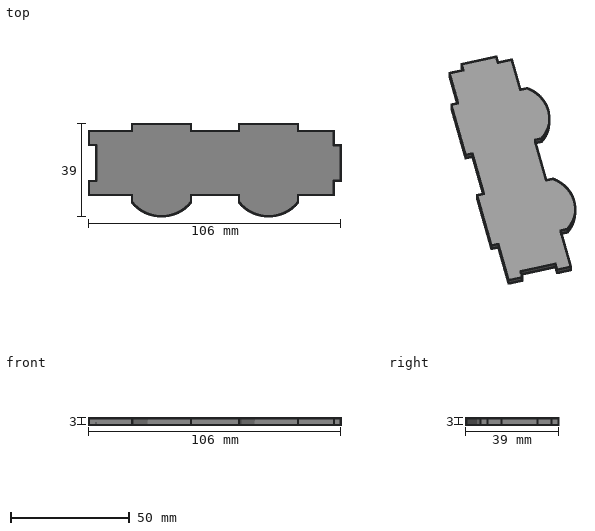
import cadquery as cq

overall_length = 106.0
overall_width = 39.0
thickness = 3.0

joint_depth = thickness
panel_length = overall_length - joint_depth
panel_width = 27.0
end_joint_width = 15.0

tab_length = 25.0
first_tab_start = 18.0
tab_gap = 20.0
tab_starts = [first_tab_start, first_tab_start + tab_length + tab_gap]
foot_drop = overall_width - panel_width - joint_depth


def plate(x_start, y_start, length, width):
    """Rectangular plate with its lower corner at the given place."""
    return cq.Workplane("XY").box(length, width, thickness, centered=False).translate((x_start, y_start, 0))


def rounded_foot(x_start):
    """Foot with short straight sides and an arc along its outer edge."""
    x_end = x_start + tab_length
    return (
        cq.Workplane("XY")
        .moveTo(x_start, 0)
        .lineTo(x_start, -joint_depth)
        .threePointArc((x_start + tab_length / 2, -foot_drop), (x_end, -joint_depth))
        .lineTo(x_end, 0)
        .close()
        .extrude(thickness)
    )


end_joint_start = (panel_width - end_joint_width) / 2
notch = plate(0, end_joint_start, joint_depth, end_joint_width)
tongue = plate(panel_length, end_joint_start, joint_depth, end_joint_width)
result = plate(0, 0, panel_length, panel_width).cut(notch).union(tongue)

for tab_start in tab_starts:
    result = result.union(plate(tab_start, panel_width, tab_length, joint_depth))
    result = result.union(rounded_foot(tab_start))

result = result.clean()